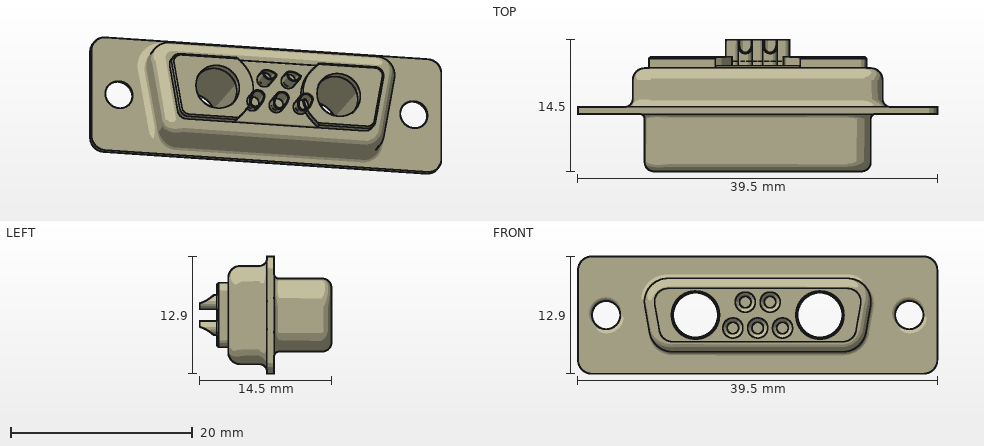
import cadquery as cq
import math

flange_thickness = 0.8
front_end = -6.32
rear_shell_depth = 4.25
insert_rim_height = 1.23
rear_shell_end = flange_thickness + rear_shell_depth
insert_end = rear_shell_end + insert_rim_height
total_depth = 14.5
cup_end = front_end + total_depth

flange_length = 39.52
flange_height = 12.92
flange_corner_radius = 1.55
mount_spacing = 33.3
mount_hole_radius = 1.55
mount_hole_rounding = 0.55

side_slope = math.radians(10)
front_outline = (12.45, 4.05, 2.55)
rear_outline = (13.75, 5.4, 2.0)
insert_outline = (11.97, 3.55, 1.0)

front_edge_radius = 1.05
front_root_radius = 0.5
rear_edge_radius = 1.35
rear_root_radius = 0.83
insert_edge_chamfer = 0.2

opening_rim = 0.05
opening_inset = front_edge_radius + opening_rim
opening_depth = 0.47
insert_face = front_end + opening_depth

bore_offset = 6.85
bore_radius = 2.65
bore_exit_radius = 2.45

pin_pitch = 2.73
row_offset = 1.42
pin_positions = [(i * pin_pitch, -row_offset) for i in (-1, 0, 1)]
pin_positions += [(i * pin_pitch / 2, row_offset) for i in (-1, 1)]
socket_mouth_radius = 1.1
socket_radius = 0.65
socket_cone_depth = socket_mouth_radius - socket_radius
socket_depth = 1.6

cup_radius = 0.8
cup_bore_radius = 0.67
cup_root = 0.2
cup_bore_depth = 2.37
cup_cut_length = 1.55
cup_tip_rise = -0.1
cup_cut_sag = 0.1

pocket_floor_height = 0.25
pocket_floor = rear_shell_end + pocket_floor_height
pocket_edge_radius = 0.2
hub_radius = 4.05
pocket_overrun = 0.4


def plane_at(y):
    """Sketch plane at depth y with local X along X and local Y along Z; it extrudes toward -Y."""
    return cq.Workplane("XZ", origin=(0, y, 0))


def d_prism(outline, y_start, y_end, inset=0.0):
    """Prism with a rounded D outline that is wider at the top."""
    half_width, half_height, radius = outline
    core_z = half_height - radius
    top_x = half_width - radius
    bottom_x = top_x - 2 * core_z * math.tan(side_slope)
    core = [(top_x, core_z), (-top_x, core_z), (-bottom_x, -core_z), (bottom_x, -core_z)]
    return (
        plane_at(y_end)
        .polyline(core)
        .close()
        .offset2D(radius - inset)
        .extrude(y_end - y_start)
    )


def cylinder(x, z, radius, y_start, y_end):
    return plane_at(y_end).center(x, z).circle(radius).extrude(y_end - y_start)


def edges_within(half_width, half_height, y, center_x=0.0):
    """Selector for the edges at depth y that lie inside a rectangle."""
    margin = 0.05
    reach_x = half_width + margin
    reach_z = half_height + margin
    return cq.selectors.BoxSelector(
        (center_x - reach_x, y - margin, -reach_z),
        (center_x + reach_x, y + margin, reach_z),
        boundingbox=True,
    )


def make_shell():
    """Flange with a D-shaped shell on each side, blended at the roots."""
    flange = (
        plane_at(flange_thickness)
        .rect(flange_length, flange_height)
        .extrude(flange_thickness)
        .edges("|Y")
        .fillet(flange_corner_radius)
    )
    for x in (-mount_spacing / 2, mount_spacing / 2):
        hole = cylinder(x, 0, mount_hole_radius, 0, flange_thickness)
        flange = flange.cut(hole)
        rim = edges_within(mount_hole_radius, mount_hole_radius, 0, x)
        flange = flange.edges(rim).fillet(mount_hole_rounding)

    front = d_prism(front_outline, front_end, 0).faces("<Y").edges().fillet(front_edge_radius)
    rear = d_prism(rear_outline, flange_thickness, rear_shell_end)
    rear = rear.faces(">Y").edges().fillet(rear_edge_radius)
    shell = flange.union(front).union(rear)

    front_root = edges_within(front_outline[0], front_outline[1], 0)
    shell = shell.edges(front_root).fillet(front_root_radius)
    rear_root = edges_within(rear_outline[0], rear_outline[1], flange_thickness)
    shell = shell.edges(rear_root).fillet(rear_root_radius)
    opening = d_prism(front_outline, front_end, insert_face, opening_inset)
    return shell.cut(opening)


def make_insert_rim():
    """Raised rim at the rear, open in the middle between the two bore hubs."""
    rim = d_prism(insert_outline, rear_shell_end, insert_end)
    rim = rim.faces(">Y").edges().chamfer(insert_edge_chamfer)

    tangent_offset = hub_radius * math.sqrt(0.5)
    wall_x = bore_offset - tangent_offset
    outer_z = insert_outline[1] + pocket_overrun
    outer_x = wall_x + outer_z - tangent_offset
    waist_x = bore_offset - hub_radius
    pocket = (
        plane_at(insert_end)
        .moveTo(-outer_x, outer_z)
        .lineTo(outer_x, outer_z)
        .lineTo(wall_x, tangent_offset)
        .threePointArc((waist_x, 0), (wall_x, -tangent_offset))
        .lineTo(outer_x, -outer_z)
        .lineTo(-outer_x, -outer_z)
        .lineTo(-wall_x, -tangent_offset)
        .threePointArc((-waist_x, 0), (-wall_x, tangent_offset))
        .close()
        .extrude(insert_end - pocket_floor)
    )
    rim = rim.cut(pocket)
    floor_edges = rim.edges(edges_within(outer_x, insert_outline[1], pocket_floor)).edges("|X")
    return floor_edges.fillet(pocket_edge_radius)


def make_cup(x, z):
    """Solder cup with a scooped opening facing away from the middle plane."""
    cup = cylinder(x, z, cup_radius, pocket_floor - cup_root, cup_end)
    cup = cup.cut(cylinder(x, z, cup_bore_radius, cup_end - cup_bore_depth, cup_end))
    outward = math.copysign(1, z)
    tip_z = z + outward * cup_tip_rise
    outer_z = z + outward * cup_radius
    cut_y = cup_end - cup_cut_length
    middle = ((cup_end + cut_y) / 2, (tip_z + outer_z) / 2 - outward * cup_cut_sag)
    scoop = (
        cq.Workplane("YZ", origin=(x, 0, 0))
        .moveTo(cup_end, tip_z)
        .threePointArc(middle, (cut_y, outer_z))
        .lineTo(cup_end, outer_z)
        .close()
        .extrude(cup_radius, both=True)
    )
    return cup.cut(scoop)


def make_socket(x, z):
    """Blind contact hole with a conical mouth."""
    hole = cylinder(x, z, socket_radius, insert_face, insert_face + socket_depth)
    cone = cq.Solid.makeCone(
        socket_mouth_radius, socket_radius, socket_cone_depth,
        pnt=cq.Vector(x, insert_face, z), dir=cq.Vector(0, 1, 0),
    )
    return hole.union(cq.Workplane(cone))


result = make_shell().union(make_insert_rim())
for pin_x, pin_z in pin_positions:
    result = result.union(make_cup(pin_x, pin_z))
    result = result.cut(make_socket(pin_x, pin_z))
for bore_x in (-bore_offset, bore_offset):
    result = result.cut(cylinder(bore_x, 0, bore_radius, insert_face, rear_shell_end))
    result = result.cut(cylinder(bore_x, 0, bore_exit_radius, rear_shell_end, insert_end))